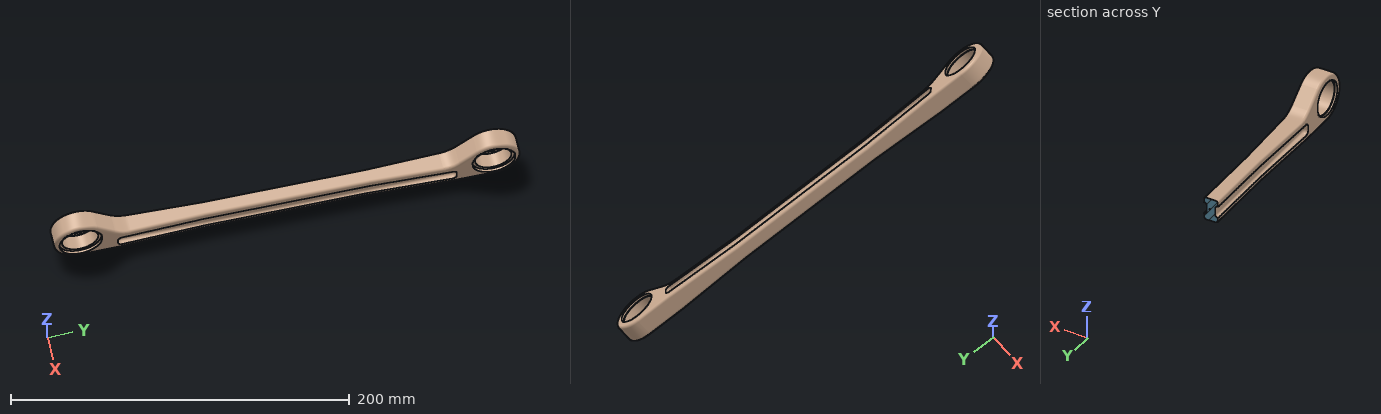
import cadquery as cq
import math

length = 282.0
eye_diameter = 32.0
eye_thickness = 13.0
hole_diameter = 22.0
front_recess_diameter = 23.0
front_recess_depth = 1.7
back_recess_diameter = 26.0
back_recess_depth = 2.0
bar_thickness = 10.0
neck_offset = 25.0
taper_end_offset = 75.0
neck_blend_radius = 15.0
edge_round = 2.0
groove_width = 8.0
groove_corner_radius = 2.5
groove_floor_round = 2.0
web_thickness = 6.0

eye_radius = eye_diameter / 2
eye_y = length / 2 - eye_radius
neck_y = eye_y - neck_offset
taper_end_y = eye_y - taper_end_offset
bar_mid_z = -eye_radius / 2


def side_body():
    """Two eyes joined by a bar as tall as the eye radius, at full eye thickness."""
    tangent_angle = math.acos(eye_radius / neck_offset)
    tangent_y = eye_y - eye_radius * math.cos(tangent_angle)
    tangent_z = eye_radius * math.sin(tangent_angle)
    flank_slope = math.pi / 2 - tangent_angle
    blend_setback = neck_blend_radius * math.tan(flank_slope / 2)
    blend_end_y = neck_y - blend_setback
    blend_top_y = neck_y + blend_setback * math.cos(flank_slope)
    blend_top_z = blend_setback * math.sin(flank_slope)
    return (
        cq.Workplane("YZ")
        .moveTo(-eye_y, -eye_radius)
        .lineTo(eye_y, -eye_radius)
        .threePointArc((eye_y + eye_radius, 0), (tangent_y, tangent_z))
        .lineTo(blend_top_y, blend_top_z)
        .radiusArc((blend_end_y, 0), neck_blend_radius)
        .lineTo(-blend_end_y, 0)
        .radiusArc((-blend_top_y, blend_top_z), neck_blend_radius)
        .lineTo(-tangent_y, tangent_z)
        .threePointArc((-eye_y - eye_radius, 0), (-eye_y, -eye_radius))
        .close()
        .extrude(eye_thickness / 2, both=True)
    )


def thickness_envelope():
    """Plan outline: full thickness at the eyes, tapering to the thinner middle."""
    quarter = [
        (eye_thickness / 2, length / 2),
        (eye_thickness / 2, neck_y),
        (bar_thickness / 2, taper_end_y),
    ]
    right_side = quarter + [(x, -y) for x, y in reversed(quarter)]
    left_side = [(-x, -y) for x, y in right_side]
    plan = cq.Workplane("XY").polyline(right_side + left_side).close()
    return plan.extrude(eye_radius, both=True)


def groove_cutter(side):
    """Groove in one side face (side is +1 or -1), rounded at its end corners and along its floor."""
    floor_x = side * web_thickness / 2
    groove_length = 2 * (neck_y + groove_corner_radius)
    floor_face = "<X" if side > 0 else ">X"
    return (
        cq.Workplane("YZ", origin=(floor_x, 0, bar_mid_z))
        .rect(groove_length, groove_width)
        .extrude(side * eye_thickness)
        .edges("|X")
        .fillet(groove_corner_radius)
        .faces(floor_face)
        .edges()
        .fillet(groove_floor_round)
    )


def bore_cutter(y):
    """Through bore of the eye at the given y, with a round recess in each side face."""
    face_x = eye_thickness / 2
    front_axis = cq.Workplane("YZ", origin=(-face_x, y, 0))
    bore = front_axis.circle(hole_diameter / 2).extrude(eye_thickness)
    front_recess = front_axis.circle(front_recess_diameter / 2).extrude(front_recess_depth)
    back_axis = cq.Workplane("YZ", origin=(face_x, y, 0))
    back_recess = back_axis.circle(back_recess_diameter / 2).extrude(-back_recess_depth)
    return bore.union(front_recess).union(back_recess)


blank = side_body().intersect(thickness_envelope())
result = blank.edges("not |Z").fillet(edge_round)

for side in (1, -1):
    result = result.cut(groove_cutter(side))

for y in (eye_y, -eye_y):
    result = result.cut(bore_cutter(y))